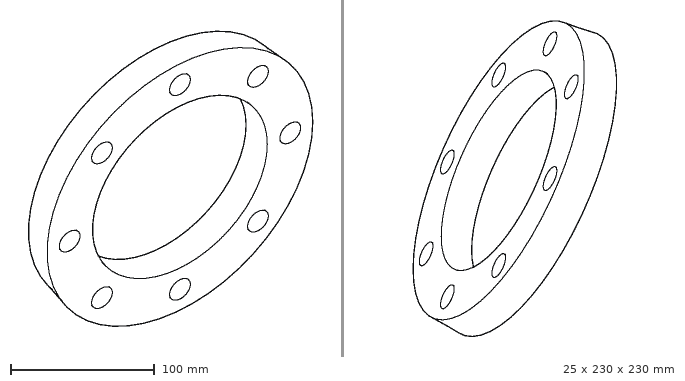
import cadquery as cq

thickness = 25.0
back_diameter = 230.0
front_diameter = 225.5
bore_diameter = 151.0

hole_diameter = 18.0
hole_circle_diameter = 191.0
hole_count = 8


def tapered_ring():
    """Revolve the ring section, with its sloping rim, about the X axis."""
    bore_radius = bore_diameter / 2
    section = (
        cq.Workplane("XY")
        .moveTo(0, bore_radius)
        .lineTo(0, front_diameter / 2)
        .lineTo(thickness, back_diameter / 2)
        .lineTo(thickness, bore_radius)
        .close()
    )
    return section.revolve(360, (0, 0, 0), (1, 0, 0))


def bolt_holes():
    """Evenly spaced cylinders running through the full thickness."""
    return (
        cq.Workplane("YZ")
        .polarArray(hole_circle_diameter / 2, 0, 360, hole_count)
        .circle(hole_diameter / 2)
        .extrude(thickness)
    )


result = tapered_ring().cut(bolt_holes())